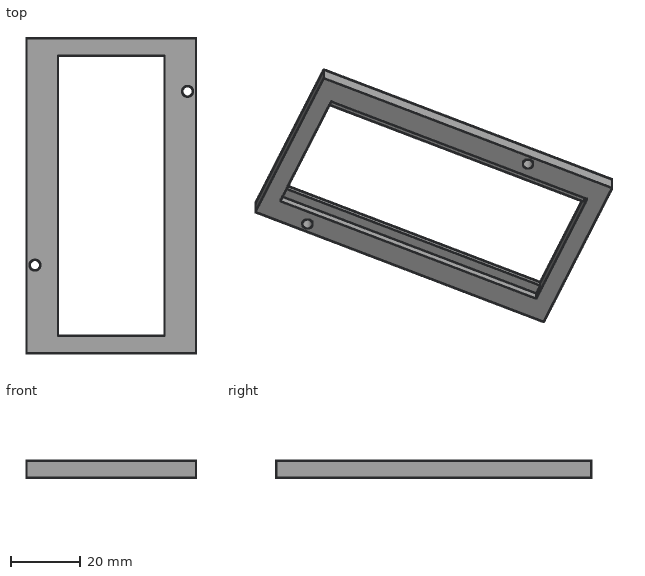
import cadquery as cq

frame_width = 49.0
frame_length = 91.0
thickness = 5.0

window_width = 30.7
window_length = 80.7

recess_width = 36.4
lip_thickness = 2.0
recess_depth = thickness - lip_thickness

hole_diameter = 3.0
hole_offset_x = 22.0
right_hole_y = 30.1
left_hole_y = -20.0
hole_centers = [
    (hole_offset_x, right_hole_y),
    (-hole_offset_x, left_hole_y),
]

frame = (
    cq.Workplane("XY")
    .rect(frame_width, frame_length)
    .rect(window_width, window_length)
    .extrude(thickness)
)

underside_recess = (
    cq.Workplane("XY")
    .rect(recess_width, window_length)
    .extrude(recess_depth)
)

mounting_holes = (
    cq.Workplane("XY")
    .pushPoints(hole_centers)
    .circle(hole_diameter / 2)
    .extrude(thickness)
)

result = frame.cut(underside_recess).cut(mounting_holes)